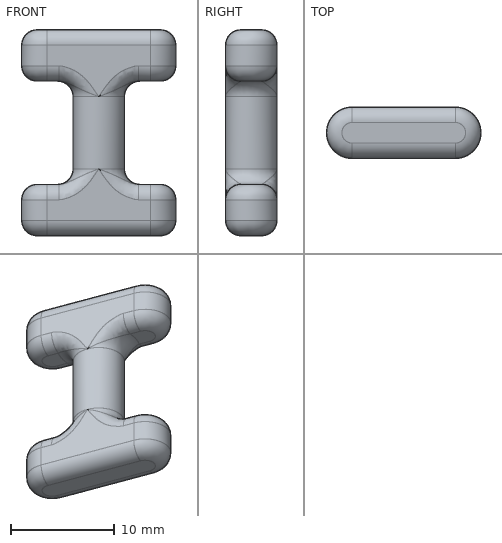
import cadquery as cq

length = 15.0
height = 20.0
thickness = 5.0
edge_radius = 1.5

post_radius = thickness / 2
flare_radius = post_radius + edge_radius
flare_top = thickness + edge_radius


def sharp_bar():
    """Lower bar with semicircular ends and square edges."""
    return cq.Workplane("XY").slot2D(length, thickness).extrude(thickness)


def post_flare():
    """Concave foot of the post, trimmed flush with the flat bar sides."""
    flare = (
        cq.Workplane("XZ")
        .lineTo(flare_radius, 0)
        .lineTo(flare_radius, thickness)
        .radiusArc((post_radius, flare_top), edge_radius)
        .lineTo(0, flare_top)
        .close()
        .revolve(360, (0, 0), (0, 1))
    )
    side_trim = cq.Workplane("XY").rect(length, thickness).extrude(flare_top)
    return flare.intersect(side_trim)


def lower_end():
    """Bar and flare with the outer edges rounded.

    The rounding follows the bar outline and runs up the side edges of the flare,
    fading out where the flare meets the post.
    """
    end = sharp_bar().union(post_flare())
    return end.edges("|X").fillet(edge_radius)


bottom = lower_end()
top = bottom.mirror("XY").translate((0, 0, height))
post = cq.Workplane("XY").workplane(offset=flare_top).circle(post_radius).extrude(height - 2 * flare_top)

result = bottom.union(post).union(top)